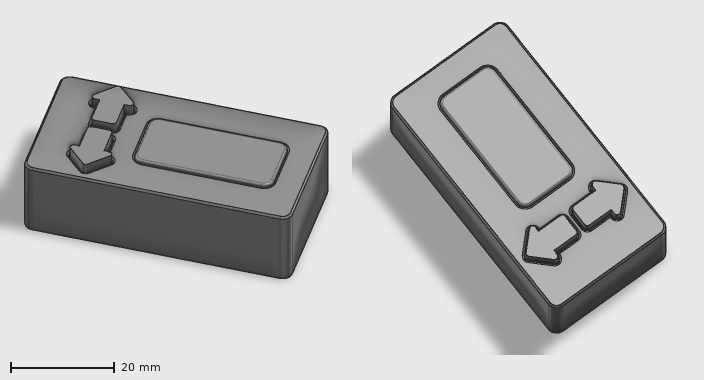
import cadquery as cq
import math

housing_length = 54.0
housing_width = 28.0
overall_height = 18.0
arrow_rise = 1.8
housing_height = overall_height - arrow_rise
housing_corner_radius = 2.0
bottom_fillet = 0.5
top_chamfer = 0.4

plate_length = 28.0
plate_width = 13.0
plate_center_x = 7.0
plate_corner_radius = 2.0
plate_rise = 0.55
plate_edge_fillet = 0.5

arrow_center_x = -15.0
arrow_tail_y = 0.95
arrow_shoulder_y = 6.9
shaft_half_width = 2.5
head_half_width = 5.15
arrow_corner_radius = 0.7
arrow_clearance = 0.3
head_side_angle = 45.0
half_turn = 180.0

pocket_depth = 1.0
pocket_floor_z = housing_height - pocket_depth


def rotate_half_turn(body):
    """Turn a body half a turn about the line through the arrow pair's centre."""
    return body.rotate((arrow_center_x, 0, 0), (arrow_center_x, 0, 1), half_turn)


def arrow_prism(clearance, height):
    """+Y arrow with rounded outer corners, grown sideways by the clearance, standing on the pocket floor."""
    corner_radius = arrow_corner_radius + clearance
    head_reach = head_half_width + clearance / math.tan(math.radians(head_side_angle / 2))
    shaft_reach = shaft_half_width + clearance
    tail_y = arrow_tail_y - clearance
    shoulder_y = arrow_shoulder_y - clearance
    tip_y = shoulder_y + head_reach * math.tan(math.radians(head_side_angle))
    prism = (
        cq.Workplane("XY", origin=(arrow_center_x, 0, pocket_floor_z))
        .polyline(
            [
                (-shaft_reach, tail_y),
                (shaft_reach, tail_y),
                (shaft_reach, shoulder_y),
                (head_reach, shoulder_y),
                (0, tip_y),
                (-head_reach, shoulder_y),
                (-shaft_reach, shoulder_y),
            ]
        )
        .close()
        .extrude(height)
    )
    for selector in ("<Y", "<X", ">X", ">Y"):
        prism = prism.edges("|Z").edges(selector).fillet(corner_radius)
    return prism


def plate_prism(height):
    """Rounded rectangle of the label plate, standing on the recess floor."""
    return (
        cq.Workplane("XY", origin=(plate_center_x, 0, pocket_floor_z))
        .rect(plate_length, plate_width)
        .extrude(height)
        .edges("|Z")
        .fillet(plate_corner_radius)
    )


def make_housing():
    block = (
        cq.Workplane("XY")
        .rect(housing_length, housing_width)
        .extrude(housing_height)
        .edges("|Z")
        .fillet(housing_corner_radius)
        .faces("<Z")
        .edges()
        .fillet(bottom_fillet)
    )
    arrow_pocket = arrow_prism(arrow_clearance, pocket_depth)
    pocketed = block.cut(plate_prism(pocket_depth)).cut(arrow_pocket).cut(rotate_half_turn(arrow_pocket))
    return pocketed.faces(">Z").edges().chamfer(top_chamfer)


def make_plate():
    return plate_prism(pocket_depth + plate_rise).faces(">Z").edges().fillet(plate_edge_fillet)


def make_arrows():
    arrow = arrow_prism(0, pocket_depth + arrow_rise)
    return [arrow, rotate_half_turn(arrow)]


housing = make_housing()
label_plate = make_plate()
arrows = make_arrows()

result = cq.Compound.makeCompound([housing.val(), label_plate.val(), *[arrow.val() for arrow in arrows]])